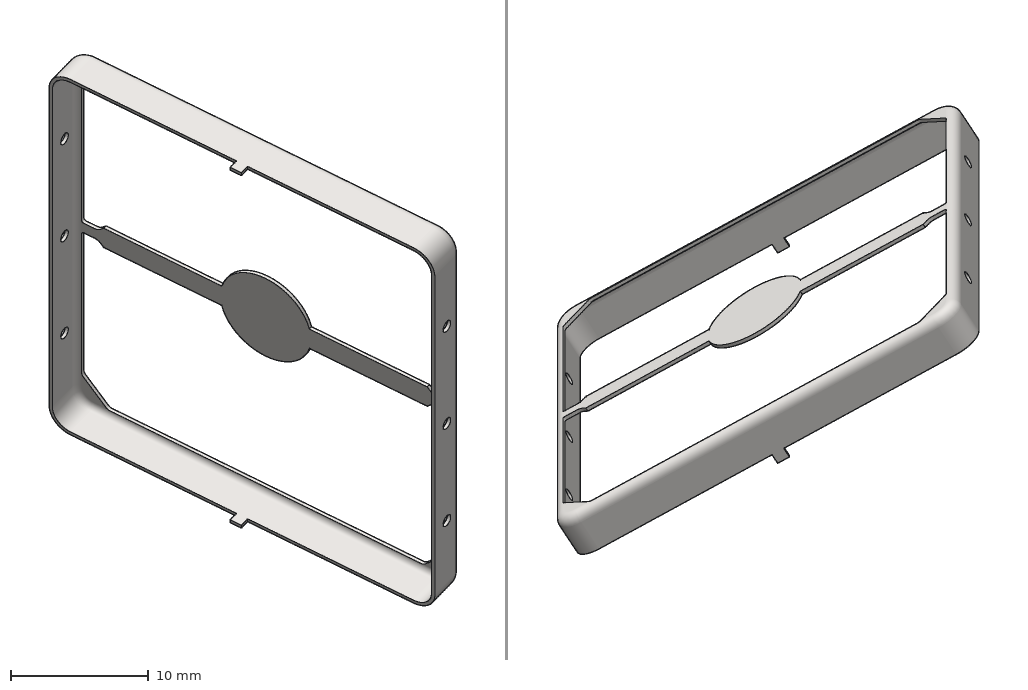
import cadquery as cq
import math

width = 34.1
height = 36.6
depth = 3.3
wall = 0.3
corner_radius = 1.9
back_round = 0.8

opening_width = width - 2 * back_round
opening_height = height - 2 * back_round

gusset_leg = 2.3
disc_diameter = 8.0
strap_width = 2.0
neck_width = 1.0
shoulder_x = 14.3
shoulder_run = (strap_width - neck_width) / 2
neck_bend_radius = 0.7
neck_joint_fillet = 0.2
gusset_joint_fillet = 0.5

tab_width = 1.0
tab_length = 0.8

hole_diameter = 0.95
hole_pitch = 10.0
hole_setback = 1.55


def rounded_block(x_size, z_size, y_start, y_end, radius):
    """Block centred on the Y axis with its four long edges rounded."""
    block = cq.Workplane("XY").box(x_size, y_end - y_start, z_size)
    block = block.translate((0, (y_start + y_end) / 2, 0))
    return block.edges("|Y").fillet(radius)


def make_tray():
    """Thin-walled tray with a rounded back, still without its opening."""
    outer = rounded_block(width, height, 0, depth, corner_radius)
    outer = outer.faces(">Y").edges().fillet(back_round)
    inner = rounded_block(
        width - 2 * wall, height - 2 * wall, 0, depth - wall, corner_radius - wall
    )
    inner = inner.faces(">Y").edges().fillet(back_round - wall)
    return outer.cut(inner)


def opening_edge_at(x, z):
    """Selector for the through-thickness edge nearest to the point (x, z)."""
    return cq.selectors.NearestToPointSelector((x, depth - wall / 2, z))


def make_window():
    """Cutter for the upper half of the back opening, above the strap."""
    half_x = opening_width / 2
    half_z = opening_height / 2
    neck_x = shoulder_x + shoulder_run
    disc_radius = disc_diameter / 2
    disc_meet_x = math.sqrt(disc_radius**2 - (strap_width / 2) ** 2)

    window = (
        cq.Workplane("XZ", origin=(0, depth - wall, 0))
        .moveTo(-half_x, neck_width / 2)
        .lineTo(-neck_x, neck_width / 2)
        .lineTo(-shoulder_x, strap_width / 2)
        .lineTo(-disc_meet_x, strap_width / 2)
        .threePointArc((0, disc_radius), (disc_meet_x, strap_width / 2))
        .lineTo(shoulder_x, strap_width / 2)
        .lineTo(neck_x, neck_width / 2)
        .lineTo(half_x, neck_width / 2)
        .lineTo(half_x, half_z - gusset_leg)
        .lineTo(half_x - gusset_leg, half_z)
        .lineTo(-half_x + gusset_leg, half_z)
        .lineTo(-half_x, half_z - gusset_leg)
        .close()
        .extrude(-wall)
    )
    for side in (-1, 1):
        neck_bend = opening_edge_at(side * neck_x, neck_width / 2)
        window = window.edges(neck_bend).fillet(neck_bend_radius)
        neck_joint = opening_edge_at(side * half_x, neck_width / 2)
        window = window.edges(neck_joint).fillet(neck_joint_fillet)
        gusset_side_end = opening_edge_at(side * half_x, half_z - gusset_leg)
        window = window.edges(gusset_side_end).fillet(gusset_joint_fillet)
        gusset_top_end = opening_edge_at(side * (half_x - gusset_leg), half_z)
        window = window.edges(gusset_top_end).fillet(gusset_joint_fillet)
    return window


def make_tab(side):
    """Tab in the middle of the upper (side = 1) or lower (side = -1) wall."""
    tab = cq.Workplane("XY").box(tab_width, tab_length + depth / 2, wall)
    y_centre = (depth / 2 - tab_length) / 2
    return tab.translate((0, y_centre, side * (height - wall) / 2))


def make_side_holes():
    """Row of three cutters running across the full width."""
    centres = [(hole_setback, row * hole_pitch) for row in (-1, 0, 1)]
    return (
        cq.Workplane("YZ")
        .pushPoints(centres)
        .circle(hole_diameter / 2)
        .extrude(width / 2, both=True)
    )


upper_window = make_window()
result = make_tray().cut(upper_window).cut(upper_window.mirror("XY"))
for wall_side in (-1, 1):
    result = result.union(make_tab(wall_side))
result = result.cut(make_side_holes())